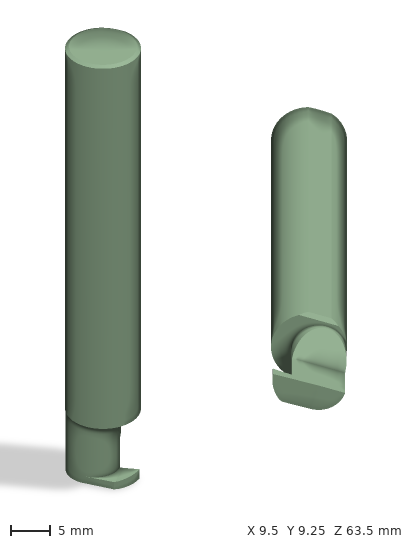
import cadquery as cq

total_length = 63.5
shank_radius = 4.75
shank_bottom = 9.6
flat_y = 4.5

chamfer_width = 0.5
chamfer_height = 0.25

neck_radius = 3.5
neck_x = neck_radius - shank_radius
neck_bottom = 0.3

relief_top = 5.6

tooth_corner_x = 2.5
relief_start = (2.9, -3.25)
relief_middle = (4.2, -1.7)
crease_x = 2.6
inner_top = 1.35
crease_top = 1.2
tip_top = 1.4


def make_shank():
    shank = cq.Workplane("XY").workplane(offset=shank_bottom).circle(shank_radius)
    shank = shank.extrude(total_length - shank_bottom)
    shank = shank.faces(">Z").edges().chamfer(chamfer_height, chamfer_width)
    beyond_flat = cq.Workplane("XY").box(
        2 * shank_radius, shank_radius, total_length, centered=(True, False, False)
    )
    return shank.cut(beyond_flat.translate((0, flat_y, 0)))


def make_neck():
    neck = cq.Workplane("XY").workplane(offset=neck_bottom).center(neck_x, 0)
    return neck.circle(neck_radius).extrude(shank_bottom - neck_bottom)


def make_relief():
    """Prism below the 45 degree slope on the +Y side."""
    reach = 2 * shank_radius
    prism = cq.Workplane("YZ").polyline(
        [(0, 0), (reach, 0), (reach, relief_top + reach), (0, relief_top)]
    )
    return prism.close().extrude(shank_radius, both=True)


def make_tooth():
    """Plan outline trimmed by a side profile that widens to the tip."""
    plan = (
        cq.Workplane("XY")
        .moveTo(neck_x, 0)
        .lineTo(neck_x, -neck_radius)
        .lineTo(tooth_corner_x, -neck_radius)
        .lineTo(*relief_start)
        .threePointArc(relief_middle, (shank_radius, 0))
        .close()
        .extrude(tip_top)
    )
    profile = (
        cq.Workplane("XZ")
        .polyline(
            [
                (neck_x, neck_bottom),
                (shank_radius, 0),
                (shank_radius, tip_top),
                (crease_x, crease_top),
                (neck_x, inner_top),
            ]
        )
        .close()
        .extrude(neck_radius)
    )
    return plan.intersect(profile)


result = make_shank().union(make_neck()).cut(make_relief()).union(make_tooth())